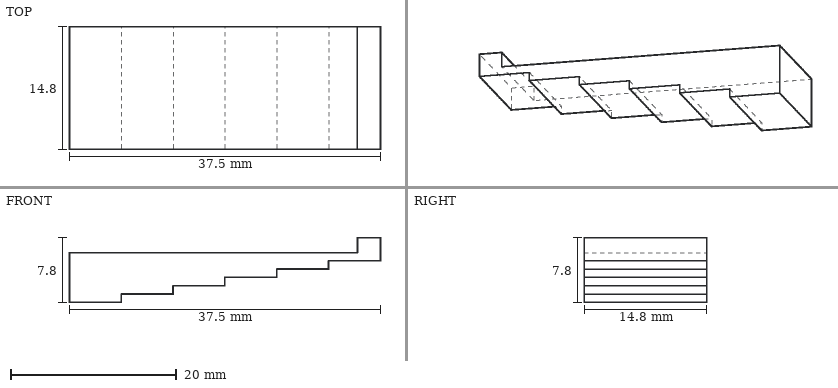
import cadquery as cq

length = 37.5
width = 14.8
step_count = 6
step_height = 1.0
lip_length = 2.8
lip_height = 1.8

step_length = length / step_count
deck_height = step_count * step_height


def stepped_plate():
    """Flat-topped plate whose underside rises in equal steps toward +X."""
    plate = cq.Workplane("XY")
    for step in range(step_count):
        underside = step * step_height
        block = (
            cq.Workplane("XY")
            .box(step_length, width, deck_height - underside, centered=False)
            .translate((step * step_length, 0, underside))
        )
        plate = plate.add(block)
    return plate.combine()


def end_lip():
    """Raised bar across the thin end, reaching down to the plate's last underside."""
    underside = deck_height - step_height
    return (
        cq.Workplane("XY")
        .box(lip_length, width, step_height + lip_height, centered=False)
        .translate((length - lip_length, 0, underside))
    )


result = stepped_plate().union(end_lip()).clean()